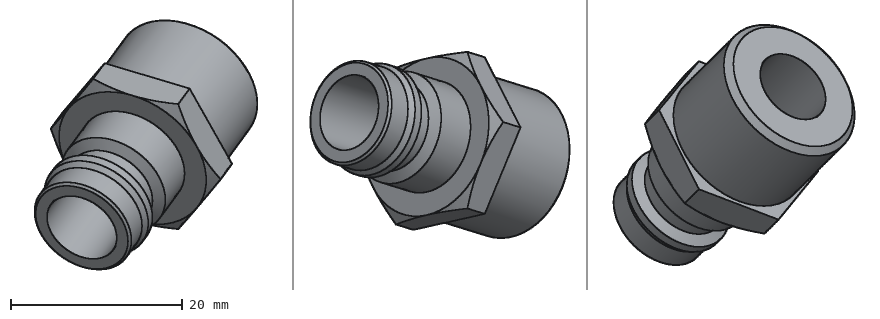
import cadquery as cq
import math


total_length = 30.0
tip_y = -total_length / 2
rear_y = total_length / 2
hex_front_y = tip_y + 14.0
hex_rear_y = tip_y + 18.0

collar_ramp_start = 3.25
collar_start = 4.0
collar_end = 5.13
groove_start = 5.85
groove_end = 7.95
neck_start = 8.7

bore_diameter = 9.0
tip_diameter = 12.5
neck_diameter = 13.4
groove_diameter = 10.8
rear_diameter = 18.0

across_flats = 19.0
across_corners = across_flats / math.cos(math.radians(30))
hex_chamfer_angle = 30.0
tip_chamfer = 0.3
rear_chamfer = 0.8


def revolve_about_y(points):
    """Revolve a closed (radius, y) outline about the Y axis."""
    return cq.Workplane("XY").polyline(points).close().revolve(360, (0, 0, 0), (0, 1, 0))


def make_plug():
    """Stepped plug with a locking groove between the collar and the neck."""
    tip_radius = tip_diameter / 2
    neck_radius = neck_diameter / 2
    groove_radius = groove_diameter / 2
    return revolve_about_y([
        (0, tip_y),
        (tip_radius - tip_chamfer, tip_y),
        (tip_radius, tip_y + tip_chamfer),
        (tip_radius, tip_y + collar_ramp_start),
        (neck_radius, tip_y + collar_start),
        (neck_radius, tip_y + collar_end),
        (groove_radius, tip_y + groove_start),
        (groove_radius, tip_y + groove_end),
        (neck_radius, tip_y + neck_start),
        (neck_radius, hex_rear_y),
        (0, hex_rear_y),
    ])


def make_hexagon():
    """Hexagon with corners on X, its front corners cut by a cone."""
    hex_length = hex_rear_y - hex_front_y
    hexagon = (
        cq.Workplane("XZ", origin=(0, hex_rear_y, 0))
        .polygon(6, across_corners)
        .extrude(hex_length)
    )
    face_radius = across_flats / 2
    cone_slope = math.tan(math.radians(hex_chamfer_angle))
    envelope_radius = face_radius + hex_length / cone_slope
    envelope = revolve_about_y([
        (0, hex_front_y),
        (face_radius, hex_front_y),
        (envelope_radius, hex_rear_y),
        (0, hex_rear_y),
    ])
    return hexagon.intersect(envelope)


def make_rear_body():
    """Cylindrical rear body with a chamfered end."""
    return (
        cq.Workplane("XZ", origin=(0, rear_y, 0))
        .circle(rear_diameter / 2)
        .extrude(rear_y - hex_rear_y)
        .faces(">Y")
        .chamfer(rear_chamfer)
    )


def make_bore():
    """Through bore along the whole part."""
    return cq.Workplane("XZ", origin=(0, rear_y, 0)).circle(bore_diameter / 2).extrude(total_length)


result = make_plug().union(make_hexagon()).union(make_rear_body()).cut(make_bore())